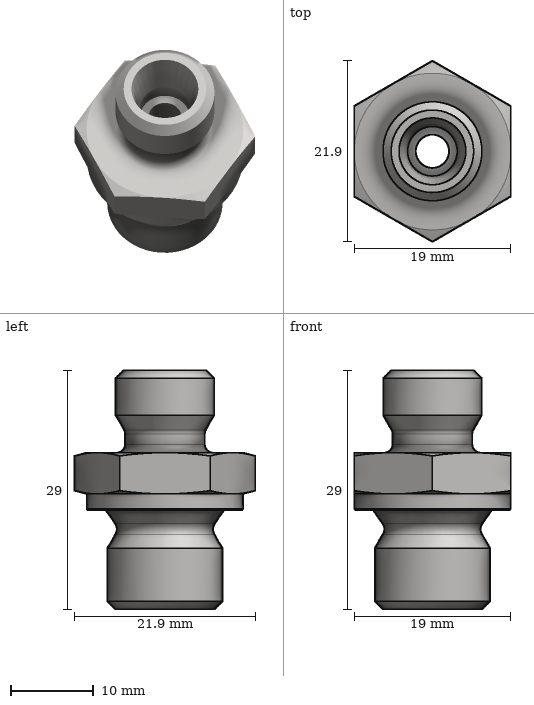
import cadquery as cq
import math


total_height = 29.0
flange_bottom = 12.0
flange_top = 14.0
hex_top = 19.0

lower_thread_radius = 14.0 / 2
upper_thread_radius = 12.0 / 2
undercut_depth = 2.3 / 2
runout_angle = math.radians(30)
end_chamfer = 1.0
lower_neck_radius = lower_thread_radius - undercut_depth
upper_neck_radius = upper_thread_radius - undercut_depth

lower_throat_height = 9.73
lower_throat_arc = 1.2
seat_angle = math.radians(35)

root_fillet = 1.0
upper_thread_start = 23.56
upper_blend_arc = 1.0

flange_radius = 19.0 / 2
flange_edge_chamfer = 0.2
across_flats = 19.0
across_corners = across_flats / math.cos(math.radians(30))
hex_chamfer_angle = math.radians(15)

bore_diameter = 4.0
tube_radius = 6.0 / 2
tube_socket_depth = 7.0
cone_mouth_radius = 8.1 / 2
cone_half_angle = math.radians(12)


def arc_point(center_radius, center_height, arc_radius, angle):
    """Point on an arc facing the axis; the angle is measured upward from its innermost point."""
    radius = center_radius - arc_radius * math.cos(angle)
    height = center_height + arc_radius * math.sin(angle)
    return (radius, height)


def lower_stud():
    """Threaded lower end with its curved neck and the seat cone up to the flange."""
    center_radius = lower_neck_radius + lower_throat_arc
    throat = (lower_neck_radius, lower_throat_height)
    runout_end = arc_point(center_radius, lower_throat_height, lower_throat_arc, -runout_angle)
    seat_start = arc_point(center_radius, lower_throat_height, lower_throat_arc, seat_angle)
    runout_length = (lower_thread_radius - runout_end[0]) / math.tan(runout_angle)
    thread_end = runout_end[1] - runout_length
    seat_radius = seat_start[0] + (flange_bottom - seat_start[1]) * math.tan(seat_angle)
    return (
        cq.Workplane("XZ")
        .lineTo(lower_thread_radius - end_chamfer, 0)
        .lineTo(lower_thread_radius, end_chamfer)
        .lineTo(lower_thread_radius, thread_end)
        .lineTo(*runout_end)
        .threePointArc(throat, seat_start)
        .lineTo(seat_radius, flange_bottom)
        .lineTo(0, flange_bottom)
        .close()
        .revolve(360, (0, 0), (0, 1))
    )


def flange():
    """Round flange below the hexagon, with its lower rim chamfered."""
    return (
        cq.Workplane("XY", origin=(0, 0, flange_bottom))
        .circle(flange_radius)
        .extrude(flange_top - flange_bottom)
        .faces("<Z")
        .edges()
        .chamfer(flange_edge_chamfer)
    )


def hexagon():
    """Hexagon with corners on +Y and -Y, its corners chamfered at both ends."""
    prism = (
        cq.Workplane("XY", origin=(0, 0, flange_top))
        .transformed(rotate=(0, 0, 90))
        .polygon(6, across_corners)
        .extrude(hex_top - flange_top)
    )
    face_radius = across_flats / 2
    corner_radius = across_corners / 2
    chamfer_drop = (corner_radius - face_radius) * math.tan(hex_chamfer_angle)
    envelope = (
        cq.Workplane("XZ")
        .moveTo(0, flange_top)
        .lineTo(face_radius, flange_top)
        .lineTo(corner_radius, flange_top + chamfer_drop)
        .lineTo(corner_radius, hex_top - chamfer_drop)
        .lineTo(face_radius, hex_top)
        .lineTo(0, hex_top)
        .close()
        .revolve(360, (0, 0), (0, 1))
    )
    return prism.intersect(envelope)


def upper_stud():
    """Threaded upper end with its cylindrical neck standing on the hexagon."""
    runout_length = undercut_depth / math.tan(runout_angle)
    blend_tangent = upper_blend_arc * math.tan(runout_angle / 2)
    blend_height = upper_thread_start - runout_length - blend_tangent
    blend_center = upper_neck_radius + upper_blend_arc
    blend_middle = arc_point(blend_center, blend_height, upper_blend_arc, runout_angle / 2)
    blend_end = arc_point(blend_center, blend_height, upper_blend_arc, runout_angle)
    root_center_radius = upper_neck_radius + root_fillet
    root_top = hex_top + root_fillet
    root_middle = arc_point(root_center_radius, root_top, root_fillet, math.radians(-45))
    return (
        cq.Workplane("XZ")
        .moveTo(0, hex_top)
        .lineTo(root_center_radius, hex_top)
        .threePointArc(root_middle, (upper_neck_radius, root_top))
        .lineTo(upper_neck_radius, blend_height)
        .threePointArc(blend_middle, blend_end)
        .lineTo(upper_thread_radius, upper_thread_start)
        .lineTo(upper_thread_radius, total_height - end_chamfer)
        .lineTo(upper_thread_radius - end_chamfer, total_height)
        .lineTo(0, total_height)
        .close()
        .revolve(360, (0, 0), (0, 1))
    )


def tube_socket():
    """Space for the tube: a tapered mouth leading to a straight socket with a flat stop."""
    cone_depth = (cone_mouth_radius - tube_radius) / math.tan(cone_half_angle)
    socket_floor = total_height - tube_socket_depth
    return (
        cq.Workplane("XZ")
        .moveTo(0, socket_floor)
        .lineTo(tube_radius, socket_floor)
        .lineTo(tube_radius, total_height - cone_depth)
        .lineTo(cone_mouth_radius, total_height)
        .lineTo(0, total_height)
        .close()
        .revolve(360, (0, 0), (0, 1))
    )


def through_bore():
    """Flow passage along the whole axis."""
    return cq.Workplane("XY").circle(bore_diameter / 2).extrude(total_height)


body = lower_stud().union(flange()).union(hexagon()).union(upper_stud())
result = body.cut(tube_socket()).cut(through_bore())